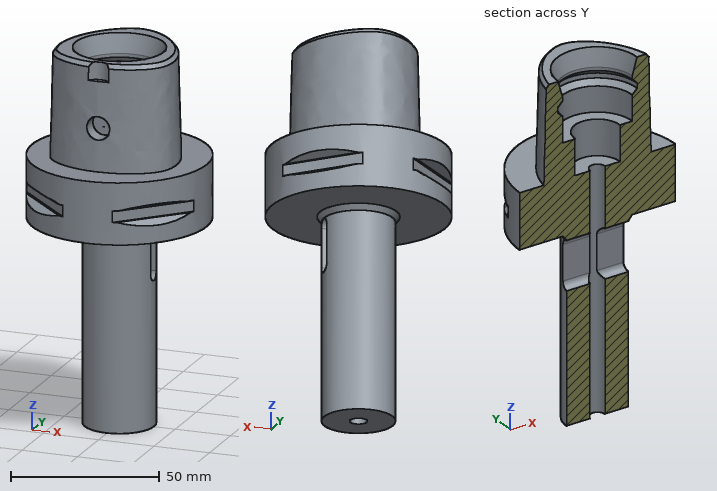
import cadquery as cq
import math

TAPER_LENGTH = 38.0
FLANGE_HEIGHT = 22.0
SHANK_LENGTH = 73.0
SHANK_END_Z = -FLANGE_HEIGHT - SHANK_LENGTH

TAPER_MEAN_RADIUS = 22.15
LOBE_HEIGHT = 1.4
TAPER_RADIUS_SLOPE = 1 / 40
OUTLINE_SAMPLES = 24
TAPER_CHAMFER_HEIGHT = 1.5
TAPER_CHAMFER_INSET = 1.2

FLANGE_RADIUS = 31.5
SHANK_RADIUS = 12.5
COLLAR_RADIUS = 14.0
COLLAR_HEIGHT = 2.0

BORE_RADIUS = 14.0
LEAD_IN_DEPTH = 6.7
LEAD_IN_ANGLE = 15.5
GROOVE_RADIUS = 16.0
GROOVE_TOP_DEPTH = 8.1
GROOVE_FLAT = 1.9
BORE_DEPTH = 24.0
PILOT_RADIUS = 9.0
PILOT_DEPTH = TAPER_LENGTH
CENTRE_HOLE_RADIUS = 3.0

GRIP_FLAT_DISTANCE = 27.7
GRIP_FLAT_HEIGHT = 4.0
GRIP_FLARE_DISTANCE = 28.4
GRIP_FLARE_ANGLE = 30.0
GRIP_CENTRE_Z = -12.0
GRIP_COUNT = 4
GRIP_FIRST_ANGLE = 45.0

NOTCH_RADIUS = 4.5
NOTCH_DEPTH = 6.2
NOTCH_BACK_Y = -17.8

SIDE_HOLE_RADIUS = 4.1
SIDE_HOLE_Z = 15.3
SIDE_HOLE_FLOOR_Y = -14.4

SLOT_WIDTH = 5.2
SLOT_LENGTH = 19.2
SLOT_TOP_Z = -FLANGE_HEIGHT - COLLAR_HEIGHT


def lobed_outline(mean_radius, z):
    """Closed constant-width three-lobed curve with one lobe on +Y."""

    def point(turn):
        angle = 2 * math.pi * turn - math.pi / 2
        lobe_angle = 3 * (angle - math.pi / 2)
        support = mean_radius + LOBE_HEIGHT * math.cos(lobe_angle)
        slope = -3 * LOBE_HEIGHT * math.sin(lobe_angle)
        x = support * math.cos(angle) - slope * math.sin(angle)
        y = support * math.sin(angle) + slope * math.cos(angle)
        return (x, y, z)

    points = [cq.Vector(*point(i / OUTLINE_SAMPLES)) for i in range(OUTLINE_SAMPLES)]
    return cq.Wire.assembleEdges([cq.Edge.makeSpline(points, periodic=True)])


def taper():
    shoulder_z = TAPER_LENGTH - TAPER_CHAMFER_HEIGHT
    shoulder_radius = TAPER_MEAN_RADIUS - shoulder_z * TAPER_RADIUS_SLOPE
    base = lobed_outline(TAPER_MEAN_RADIUS, 0)
    shoulder = lobed_outline(shoulder_radius, shoulder_z)
    end = lobed_outline(shoulder_radius - TAPER_CHAMFER_INSET, TAPER_LENGTH)
    body = cq.Solid.makeLoft([base, shoulder], True)
    chamfer = cq.Solid.makeLoft([shoulder, end], True)
    return cq.Workplane(body).union(cq.Workplane(chamfer))


def flange_and_shank():
    profile = [
        (0, 0),
        (FLANGE_RADIUS, 0),
        (FLANGE_RADIUS, -FLANGE_HEIGHT),
        (COLLAR_RADIUS, -FLANGE_HEIGHT),
        (SHANK_RADIUS, -FLANGE_HEIGHT - COLLAR_HEIGHT),
        (SHANK_RADIUS, SHANK_END_Z),
        (0, SHANK_END_Z),
    ]
    return cq.Workplane("XZ").polyline(profile).close().revolve(360, (0, 0, 0), (0, 1, 0))


def stepped_bore():
    mouth_radius = BORE_RADIUS + LEAD_IN_DEPTH * math.tan(math.radians(LEAD_IN_ANGLE))
    groove_rise = GROOVE_RADIUS - BORE_RADIUS
    groove_start = GROOVE_TOP_DEPTH + groove_rise
    groove_stop = groove_start + GROOVE_FLAT
    radius_and_depth = [
        (0, 0),
        (mouth_radius, 0),
        (BORE_RADIUS, LEAD_IN_DEPTH),
        (BORE_RADIUS, GROOVE_TOP_DEPTH),
        (GROOVE_RADIUS, groove_start),
        (GROOVE_RADIUS, groove_stop),
        (BORE_RADIUS, groove_stop + groove_rise),
        (BORE_RADIUS, BORE_DEPTH),
        (PILOT_RADIUS, BORE_DEPTH),
        (PILOT_RADIUS, PILOT_DEPTH),
        (CENTRE_HOLE_RADIUS, PILOT_DEPTH),
        (CENTRE_HOLE_RADIUS, TAPER_LENGTH - SHANK_END_Z),
        (0, TAPER_LENGTH - SHANK_END_Z),
    ]
    profile = [(radius, TAPER_LENGTH - depth) for radius, depth in radius_and_depth]
    return cq.Workplane("XZ").polyline(profile).close().revolve(360, (0, 0, 0), (0, 1, 0))


def gripper_slot(angle):
    flare = (FLANGE_RADIUS - GRIP_FLARE_DISTANCE) * math.tan(math.radians(GRIP_FLARE_ANGLE))
    flat_bottom_z = GRIP_CENTRE_Z - GRIP_FLAT_HEIGHT / 2
    flat_top_z = GRIP_CENTRE_Z + GRIP_FLAT_HEIGHT / 2
    profile = [
        (GRIP_FLAT_DISTANCE, flat_bottom_z),
        (GRIP_FLAT_DISTANCE, flat_top_z),
        (GRIP_FLARE_DISTANCE, flat_top_z),
        (FLANGE_RADIUS, flat_top_z + flare),
        (FLANGE_RADIUS, flat_bottom_z - flare),
        (GRIP_FLARE_DISTANCE, flat_bottom_z),
    ]
    slot = cq.Workplane("XZ").polyline(profile).close().extrude(FLANGE_RADIUS, both=True)
    return slot.rotate((0, 0, 0), (0, 0, 1), angle)


def orientation_notch():
    return (
        cq.Workplane("XY", origin=(0, NOTCH_BACK_Y - NOTCH_RADIUS, TAPER_LENGTH - NOTCH_DEPTH))
        .circle(NOTCH_RADIUS)
        .extrude(NOTCH_DEPTH)
    )


def side_hole():
    return (
        cq.Workplane("XZ", origin=(0, SIDE_HOLE_FLOOR_Y, SIDE_HOLE_Z))
        .circle(SIDE_HOLE_RADIUS)
        .extrude(TAPER_MEAN_RADIUS + SIDE_HOLE_FLOOR_Y)
    )


def shank_slot():
    return (
        cq.Workplane("YZ", origin=(0, 0, SLOT_TOP_Z - SLOT_LENGTH / 2))
        .slot2D(SLOT_LENGTH, SLOT_WIDTH, 90)
        .extrude(SHANK_RADIUS, both=True)
    )


result = taper().union(flange_and_shank())
result = result.cut(stepped_bore())
for index in range(GRIP_COUNT):
    result = result.cut(gripper_slot(GRIP_FIRST_ANGLE + index * 360 / GRIP_COUNT))
result = result.cut(orientation_notch())
result = result.cut(side_hole())
result = result.cut(shank_slot())